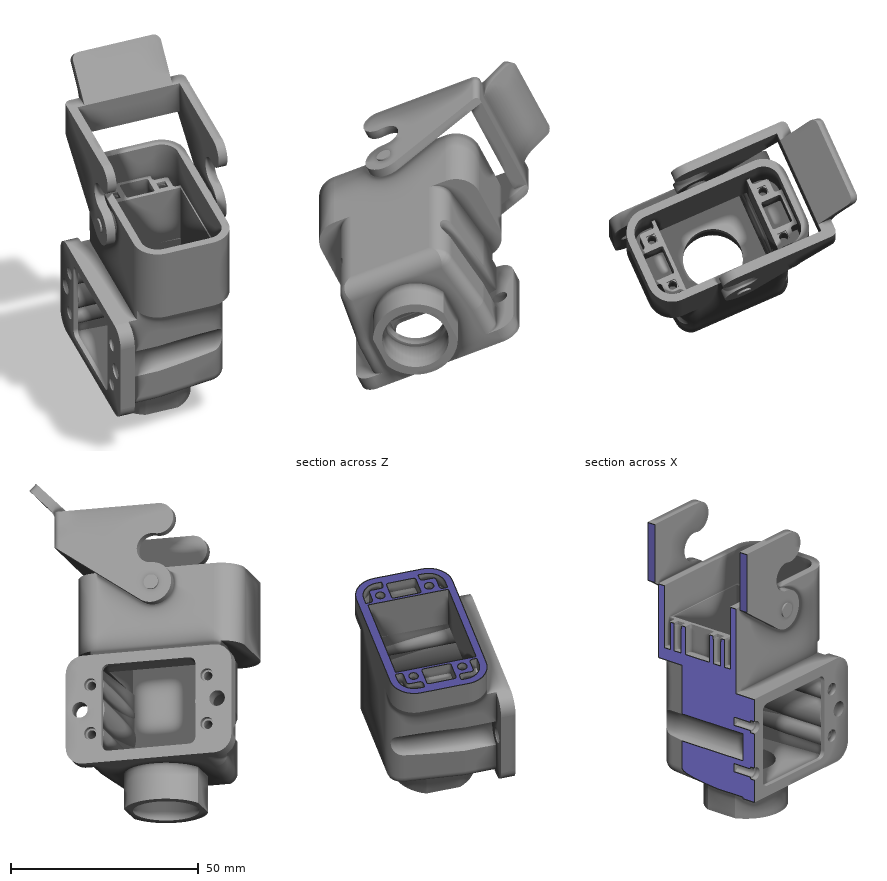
import cadquery as cq
import math


hood_length = 46.0
hood_width = 26.7
hood_corner_radius = 6.7
hood_wall = 2.1
hood_bottom = 33.0
hood_top = 54.6

body_half_length = 18.1
body_back_half_length = 15.6
taper_start_y = -7.0
body_back_radius = 4.7
body_bottom_radius = 3.1
body_heel_radius = 4.5

flange_height = 30.0
flange_thickness = 4.0
flange_front_y = -19.6
flange_corner_radius = 4.75
flange_center_z = flange_height / 2
flange_back_y = flange_front_y + flange_thickness

window_length = 26.0
window_height = 24.0
window_corner_radius = 1.8
window_lip = 1.2

cavity_front_half_length = 15.0
cavity_back_half_length = 13.0
cavity_floor = 2.4
cavity_ceiling = 27.4
cavity_back_y = 10.9

ledge_depth = 10.0
ledge_z = hood_top - ledge_depth
ledge_recess_depth = 8.0
ledge_opening_length = 26.8

fixing_hole_diameter = 4.3
fixing_hole_x = 19.05
screw_hole_diameter = 2.4
screw_hole_depth = 7.0
screw_counterbore_diameter = 3.5
screw_counterbore_depth = 1.3
screw_x = 16.15
screw_pitch = 13.5
screw_boss_radius = 3.3

groove_axis_x = 18.5
groove_radius = 4.3
groove_bulge_tip_x = 12.6
groove_bulge_radius = 6.4

pocket_inner_x = 14.3
pocket_outer_x = 20.0
pocket_width = 8.0
pocket_corner_radius = 0.5
corner_recess_radius = 0.76
socket_size = 2.5
socket_depth = 1.0
corner_recess_x = 18.8
corner_recess_y = 9.3
corner_recess_end_y = 5.1

stub_diameter = 22.6
stub_across_flats = 20.6
stub_length = 10.0
stub_y = -3.2
bore_diameter = 16.0
thread_diameter = 17.7
bore_shoulder_z = -0.4

pivot_z = 49.65
pin_diameter = 4.0
pin_end_y = 17.5
pin_cone_base_radius = 3.4
pin_cone_top_radius = 2.75

arm_outer_y = 17.0
arm_thickness = 2.5
arm_inner_y = arm_outer_y - arm_thickness
pivot_radius = 5.5
slot_radius = 4.05
hook_radius = 4.2
hook_x = 1.9
web_outer_x = -27.3
web_thickness = 3.6
web_inner_x = web_outer_x + web_thickness
web_bottom_z = 61.9
web_corner_radius = 1.6

tab_tip_x = -35.67
tab_tip_z = 79.75
tab_thickness = 2.6
tab_width = 25.0
tab_corner_radius = 2.0
tab_root_radius = 10.0


def box(x0, x1, y0, y1, z0, z1):
    """Box between two corners."""
    return cq.Workplane("XY").box(x1 - x0, y1 - y0, z1 - z0, centered=False).translate((x0, y0, z0))


def rounded_prism(length, width, radius, z0, z1):
    """Upright prism with a rounded rectangle as its section."""
    prism = cq.Workplane("XY").workplane(offset=z0).rect(length, width).extrude(z1 - z0)
    return prism.edges("|Z").fillet(radius)


def rod_y(radius, x, z, y0, y1):
    """Cylinder along Y."""
    return cq.Workplane(cq.Solid.makeCylinder(radius, y1 - y0, cq.Vector(x, y0, z), cq.Vector(0, 1, 0)))


def rod_z(radius, x, y, z0, z1):
    """Cylinder along Z."""
    return cq.Workplane(cq.Solid.makeCylinder(radius, z1 - z0, cq.Vector(x, y, z0)))


hood_back_y = hood_width / 2
hood_inner_length = hood_length - 2 * hood_wall
hood_inner_width = hood_width - 2 * hood_wall
hood_inner_radius = hood_corner_radius - hood_wall
screw_zs = (flange_center_z - screw_pitch / 2, flange_center_z + screw_pitch / 2)


def make_lower_body():
    """Body below the hood: tapered towards the back, with a rounded bottom."""
    body = (
        cq.Workplane("XY")
        .moveTo(-body_half_length, flange_back_y)
        .lineTo(body_half_length, flange_back_y)
        .lineTo(body_half_length, taper_start_y)
        .lineTo(body_back_half_length, hood_back_y)
        .lineTo(-body_back_half_length, hood_back_y)
        .lineTo(-body_half_length, taper_start_y)
        .close()
        .extrude(hood_bottom)
        .edges("|Z and >Y").fillet(body_back_radius)
    )
    body = body.faces("<Z").edges("not <Y").fillet(body_bottom_radius)
    hood_outline = rounded_prism(hood_length, hood_width, hood_corner_radius, 0, hood_bottom)
    base = box(-hood_length, hood_length, flange_back_y, hood_back_y, 0, flange_height)
    heel = box(-hood_length, hood_length, flange_back_y, hood_back_y, 0, hood_bottom)
    heel = heel.edges("|X and >Y and <Z").fillet(body_heel_radius)
    return body.intersect(base.union(hood_outline)).intersect(heel)


def make_flange():
    """Mounting flange on the front, with rounded corners."""
    flange = box(-hood_length / 2, hood_length / 2, flange_front_y, flange_back_y, 0, flange_height)
    return flange.edges("|Y").fillet(flange_corner_radius)


def make_stub():
    """Cable entry: a cylinder with two flats."""
    stub = rod_z(stub_diameter / 2, 0, stub_y, -stub_length, cavity_floor)
    half_flats = stub_across_flats / 2
    return stub.intersect(
        box(-half_flats, half_flats, -stub_diameter, stub_diameter, -stub_length, cavity_floor)
    )


def make_cavity():
    """Inside of the body, with the bulges of the side grooves and screw bosses left standing."""
    cavity_front_y = flange_front_y + window_lip
    cavity = (
        cq.Workplane("XY").workplane(offset=cavity_floor)
        .moveTo(-cavity_front_half_length, cavity_front_y)
        .lineTo(cavity_front_half_length, cavity_front_y)
        .lineTo(cavity_back_half_length, cavity_back_y)
        .lineTo(-cavity_back_half_length, cavity_back_y)
        .close()
        .extrude(cavity_ceiling - cavity_floor)
    )
    for side in (-1, 1):
        bulge_x = side * (groove_bulge_tip_x + groove_bulge_radius)
        cavity = cavity.cut(
            rod_y(groove_bulge_radius, bulge_x, flange_center_z, cavity_front_y, hood_back_y)
        )
        for z in screw_zs:
            cavity = cavity.cut(
                rod_y(screw_boss_radius, side * screw_x, z, cavity_front_y, hood_back_y)
            )
    window = box(-window_length / 2, window_length / 2, flange_front_y, cavity_front_y,
                 flange_center_z - window_height / 2, flange_center_z + window_height / 2)
    opening = box(-ledge_opening_length / 2, ledge_opening_length / 2,
                  -hood_inner_width / 2, cavity_back_y, cavity_ceiling, ledge_z)
    return cavity.union(window.edges("|Y").fillet(window_corner_radius)).union(opening)


def make_ledge_recesses():
    """Recesses in the ledge inside the hood: a pocket, two corners and two sockets on each side."""
    bottom = ledge_z - ledge_recess_depth
    half_length = hood_inner_length / 2
    half_width = hood_inner_width / 2
    pocket = box(pocket_inner_x, pocket_outer_x, -pocket_width / 2, pocket_width / 2, bottom, ledge_z)
    recesses = pocket.edges("|Z").fillet(pocket_corner_radius)
    room = rounded_prism(hood_inner_length, hood_inner_width, hood_inner_radius, bottom, ledge_z)
    half_socket = socket_size / 2
    for end in (-1, 1):
        y_far = end * half_width
        y_side = end * corner_recess_y
        y_near = end * corner_recess_end_y
        inner_corners = cq.selectors.BoxSelector(
            (pocket_inner_x - corner_recess_radius, y_near - end * corner_recess_radius, bottom),
            (corner_recess_x + corner_recess_radius, y_side + end * corner_recess_radius, ledge_z),
        )
        corner = (
            cq.Workplane("XY").workplane(offset=bottom)
            .moveTo(pocket_inner_x, y_far).lineTo(half_length, y_far).lineTo(half_length, y_near)
            .lineTo(corner_recess_x, y_near).lineTo(corner_recess_x, y_side)
            .lineTo(pocket_inner_x, y_side).close()
            .extrude(ledge_recess_depth)
        )
        corner = corner.edges("|Z").edges(inner_corners).fillet(corner_recess_radius)
        recesses = recesses.union(corner.intersect(room))
        socket_y = end * screw_pitch / 2
        socket = box(screw_x - half_socket, screw_x + half_socket, socket_y - half_socket,
                     socket_y + half_socket, ledge_z - socket_depth, ledge_z)
        hole = rod_z(screw_hole_diameter / 2, screw_x, socket_y, bottom, ledge_z)
        recesses = recesses.union(socket).union(hole)
    return recesses.union(recesses.mirror("YZ"))


def make_flange_holes():
    """Fixing holes and counterbored screw holes in the flange."""
    holes = cq.Workplane("XY")
    counterbore_end_y = flange_front_y + screw_counterbore_depth
    for side in (-1, 1):
        holes = holes.add(
            rod_y(fixing_hole_diameter / 2, side * fixing_hole_x, flange_center_z,
                  flange_front_y, flange_back_y)
        )
        for z in screw_zs:
            x = side * screw_x
            holes = holes.add(
                rod_y(screw_counterbore_diameter / 2, x, z, flange_front_y, counterbore_end_y)
            )
            holes = holes.add(
                rod_y(screw_hole_diameter / 2, x, z, flange_front_y, flange_front_y + screw_hole_depth)
            )
    return holes.combine()


def make_pivot_pin():
    """Pivot pin on the +Y side, with a conical shoulder between the hood and the lever."""
    cone = cq.Solid.makeCone(pin_cone_base_radius, pin_cone_top_radius, arm_inner_y - hood_back_y,
                             cq.Vector(0, hood_back_y, pivot_z), cq.Vector(0, 1, 0))
    pin = rod_y(pin_diameter / 2, 0, pivot_z, hood_back_y - hood_wall / 2, pin_end_y)
    return pin.union(cq.Workplane(cone))


def make_housing():
    """Hood, body, flange, cable entry and both pivot pins as one solid."""
    housing = rounded_prism(hood_length, hood_width, hood_corner_radius, hood_bottom, hood_top)
    housing = housing.union(make_lower_body())
    for side in (-1, 1):
        housing = housing.cut(
            rod_y(groove_radius, side * groove_axis_x, flange_center_z, flange_back_y, hood_back_y)
        )
    housing = housing.union(make_flange()).union(make_stub())
    housing = housing.cut(
        rounded_prism(hood_inner_length, hood_inner_width, hood_inner_radius, ledge_z, hood_top)
    )
    housing = housing.cut(make_cavity()).cut(make_ledge_recesses()).cut(make_flange_holes())
    housing = housing.cut(rod_z(bore_diameter / 2, 0, stub_y, -stub_length, cavity_floor))
    housing = housing.cut(rod_z(thread_diameter / 2, 0, stub_y, -stub_length, bore_shoulder_z))
    pin = make_pivot_pin()
    return housing.union(pin).union(pin.mirror("XZ"))


def make_lever_blank():
    """Side profile of the arms over the full width, where the arcs run tangent into each other."""
    slot_z = pivot_z + pivot_radius + slot_radius
    hook_z = slot_z + math.sqrt((slot_radius + hook_radius) ** 2 - hook_x ** 2)
    top_z = hook_z + hook_radius
    slot_share = slot_radius / (slot_radius + hook_radius)
    hook_joint = (hook_x * slot_share, slot_z + (hook_z - slot_z) * slot_share)

    corner_dx = web_outer_x
    corner_dz = web_bottom_z - pivot_z
    tangent_angle = math.atan2(corner_dz, corner_dx) + math.acos(
        pivot_radius / math.hypot(corner_dx, corner_dz)
    )
    tangent = (pivot_radius * math.cos(tangent_angle), pivot_z + pivot_radius * math.sin(tangent_angle))

    blank = (
        cq.Workplane("XZ", origin=(0, arm_outer_y, 0))
        .moveTo(web_outer_x, web_bottom_z)
        .lineTo(web_outer_x, top_z)
        .lineTo(hook_x, top_z)
        .threePointArc((hook_x + hook_radius, hook_z), hook_joint)
        .threePointArc((-slot_radius, slot_z), (0, pivot_z + pivot_radius))
        .threePointArc((pivot_radius, pivot_z), tangent)
        .close()
        .extrude(2 * arm_outer_y)
    )
    return blank.edges("|Z and <X").fillet(web_corner_radius)


def make_tab():
    """Thumb tab rising at 45 degrees from the web, blended into the web's outer face."""
    tab_angle = math.radians(45)
    step = tab_thickness * math.cos(tab_angle)
    tip_top_x = tab_tip_x + step
    tip_top_z = tab_tip_z + step
    upper_root_z = tip_top_z - (web_inner_x - tip_top_x)

    arc_center_x = web_outer_x - tab_root_radius
    arc_center_z = tab_tip_z - (arc_center_x - tab_tip_x) - tab_root_radius / math.cos(tab_angle)

    def on_blend(angle):
        return (arc_center_x + tab_root_radius * math.cos(angle),
                arc_center_z + tab_root_radius * math.sin(angle))

    tab = (
        cq.Workplane("XZ", origin=(0, tab_width / 2, 0))
        .moveTo(tab_tip_x, tab_tip_z)
        .lineTo(tip_top_x, tip_top_z)
        .lineTo(web_inner_x, upper_root_z)
        .lineTo(web_inner_x, arc_center_z)
        .lineTo(web_outer_x, arc_center_z)
        .threePointArc(on_blend(tab_angle / 2), on_blend(tab_angle))
        .close()
        .extrude(tab_width)
    )
    tip_region = cq.selectors.BoxSelector(
        (tab_tip_x, -tab_width, tab_tip_z),
        (tip_top_x, tab_width, tip_top_z),
    )
    return tab.edges(tip_region).edges("not |Y").fillet(tab_corner_radius)


def make_lever():
    """Locking lever: two arms joined by a web, with a thumb tab and pivot holes."""
    gap = box(web_inner_x, hood_length, -arm_inner_y, arm_inner_y, 0, 2 * pivot_z)
    under_web = box(web_outer_x, hood_length, -arm_inner_y, arm_inner_y, 0, web_bottom_z)
    lever = make_lever_blank().cut(gap).cut(under_web).union(make_tab())
    return lever.cut(rod_y(pin_diameter / 2, 0, pivot_z, -arm_outer_y, arm_outer_y))


housing = make_housing()
lever = make_lever()

result = cq.Compound.makeCompound([housing.solids().val(), lever.solids().val()])